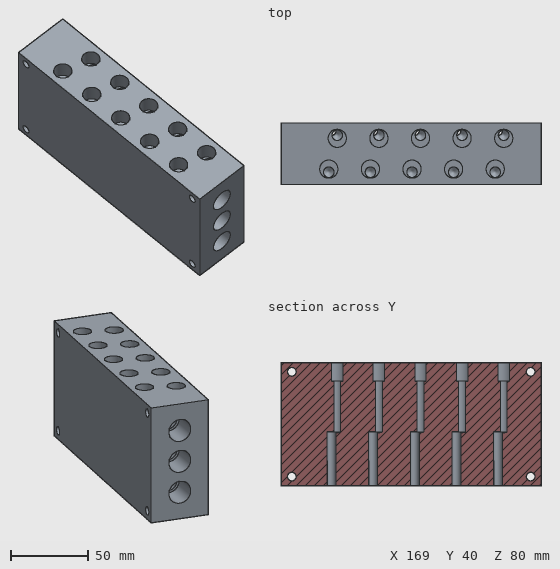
import cadquery as cq
import math

LENGTH = 169.0
WIDTH = 40.0
HEIGHT = 80.0

MOUNT_DIAMETER = 5.5
MOUNT_SPAN_X = LENGTH - 2 * 7.0
MOUNT_SPAN_Z = HEIGHT - 2 * 6.0

GALLERY_COUNT = 3
GALLERY_PITCH = 21.5
GALLERY_DIAMETER = 12.0
GALLERY_PORT_DIAMETER = 15.2
GALLERY_PORT_DEPTH = 20.0

OUTLET_COUNT = 5
OUTLET_PITCH = 27.0
OUTLET_ROW_Y = 10.0
OUTLET_DIAMETER = 11.8
OUTLET_DEPTH = 12.0
FRONT_ROW_X = 0.5
BACK_ROW_X = 6.0

DRILLING_DIAMETER = 6.8
DRILLING_OFFSET = 2.0
DRILLING_DEPTH = 45.0
DRILL_POINT_ANGLE = 118.0

PASSAGE_DIAMETER = 5.5
PASSAGE_OFFSET_X = -3.7
PASSAGE_OFFSET_Y = 2.7


def cylinder(diameter, length, start, direction):
    return cq.Solid.makeCylinder(diameter / 2, length, cq.Vector(*start), cq.Vector(*direction))


def make_block():
    return cq.Workplane("XY").box(LENGTH, WIDTH, HEIGHT, centered=(True, True, False))


def cut_mounting_holes(body):
    for side_x in (-1, 1):
        for side_z in (-1, 1):
            start = (side_x * MOUNT_SPAN_X / 2, -WIDTH / 2, HEIGHT / 2 + side_z * MOUNT_SPAN_Z / 2)
            body = body.cut(cylinder(MOUNT_DIAMETER, WIDTH, start, (0, 1, 0)))
    return body


def cut_galleries(body):
    for index in range(GALLERY_COUNT):
        z = HEIGHT / 2 + (index - (GALLERY_COUNT - 1) / 2) * GALLERY_PITCH
        body = body.cut(cylinder(GALLERY_DIAMETER, LENGTH, (-LENGTH / 2, 0, z), (1, 0, 0)))
        for side in (-1, 1):
            start = (side * LENGTH / 2, 0, z)
            body = body.cut(cylinder(GALLERY_PORT_DIAMETER, GALLERY_PORT_DEPTH, start, (-side, 0, 0)))
    return body


def make_outlet(x, side):
    """Outlet port with its offset drilling; side is -1 for the front row, 1 for the back row."""
    port_y = side * OUTLET_ROW_Y
    drilling_y = port_y + side * DRILLING_OFFSET
    radius = DRILLING_DIAMETER / 2
    point_length = radius / math.tan(math.radians(DRILL_POINT_ANGLE / 2))
    drilling_end = (x, drilling_y, HEIGHT - DRILLING_DEPTH)

    port = cylinder(OUTLET_DIAMETER, OUTLET_DEPTH, (x, port_y, HEIGHT), (0, 0, -1))
    shank_length = DRILLING_DEPTH - OUTLET_DEPTH
    shank = cylinder(DRILLING_DIAMETER, shank_length, drilling_end, (0, 0, 1))
    point = cq.Solid.makeCone(radius, 0, point_length, cq.Vector(*drilling_end), cq.Vector(0, 0, -1))
    return cq.Workplane(port).union(cq.Workplane(shank)).union(cq.Workplane(point))


def outlet_positions(row_x):
    return [row_x + (index - (OUTLET_COUNT - 1) / 2) * OUTLET_PITCH for index in range(OUTLET_COUNT)]


def cut_outlets(body):
    for side, row_x in ((-1, FRONT_ROW_X), (1, BACK_ROW_X)):
        for x in outlet_positions(row_x):
            body = body.cut(make_outlet(x, side))
    return body


def cut_passages(body):
    y = OUTLET_ROW_Y + DRILLING_OFFSET + PASSAGE_OFFSET_Y
    length = HEIGHT - DRILLING_DEPTH
    for x in outlet_positions(BACK_ROW_X):
        body = body.cut(cylinder(PASSAGE_DIAMETER, length, (x + PASSAGE_OFFSET_X, y, 0), (0, 0, 1)))
    return body


body = make_block()
body = cut_mounting_holes(body)
body = cut_galleries(body)
body = cut_outlets(body)
result = cut_passages(body)